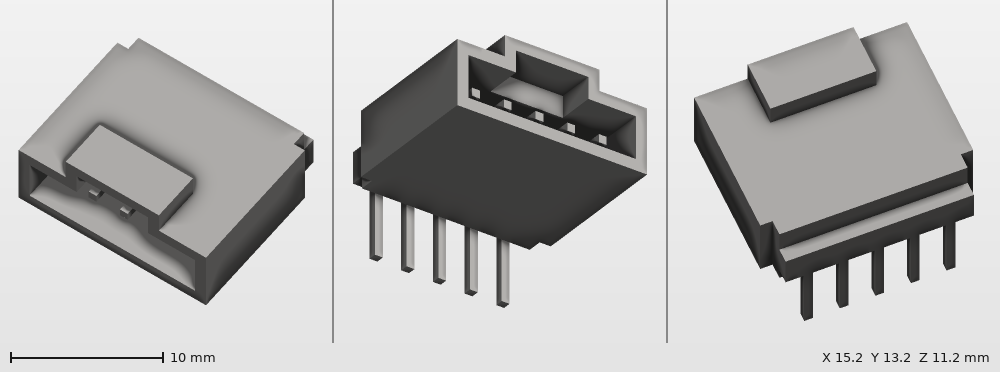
import cadquery as cq

width = 15.24
body_height = 5.1
wall = 0.88
shoulder_depth = 11.05
neck_depth = 1.15
inner_width = width - 2 * wall
body_depth = shoulder_depth + neck_depth

key_width = 7.57
key_height = 1.65
key_depth = 3.81

cavity_height = 3.29
cavity_depth = 9.45
keyway_width = key_width - 2 * wall
keyway_top = body_height + key_height - wall

block_depth = 1.04
block_bottom = 0.88
block_height = 2.42

pin_count = 5
pin_pitch = 2.55
pin_size = 0.62
leg_length = 4.43
contact_setback = 1.37
contact_bottom = 2.16
contact_shift = -0.06


def centred_box(size_x, size_y, size_z, x, y, z):
    """Box centred on x, starting at y and z."""
    return (
        cq.Workplane("XY")
        .box(size_x, size_y, size_z, centered=(True, False, False))
        .translate((x, y, z))
    )


def make_housing():
    shoulder = centred_box(width, shoulder_depth, body_height, 0, 0, 0)
    neck = centred_box(inner_width, neck_depth, body_height, 0, shoulder_depth, 0)
    key = centred_box(key_width, key_depth, key_height, 0, 0, body_height)
    block = centred_box(inner_width, block_depth, block_height, 0, body_depth, block_bottom)
    return shoulder.union(neck).union(key).union(block)


def make_cavity():
    opening = centred_box(inner_width, cavity_depth, cavity_height, 0, 0, wall)
    keyway_depth = key_depth - wall
    keyway = centred_box(keyway_width, keyway_depth, keyway_top - wall, 0, 0, wall)
    return opening.union(keyway)


def make_pin(x):
    contact_length = body_depth - contact_setback
    contact = centred_box(
        pin_size, contact_length, pin_size, x + contact_shift, contact_setback, contact_bottom
    )
    leg_y = body_depth + block_depth - pin_size
    leg = centred_box(pin_size, pin_size, leg_length + block_bottom, x, leg_y, -leg_length)
    return contact.union(leg)


result = make_housing().cut(make_cavity())
for index in range(pin_count):
    pin_x = (index - (pin_count - 1) / 2) * pin_pitch
    result = result.union(make_pin(pin_x))